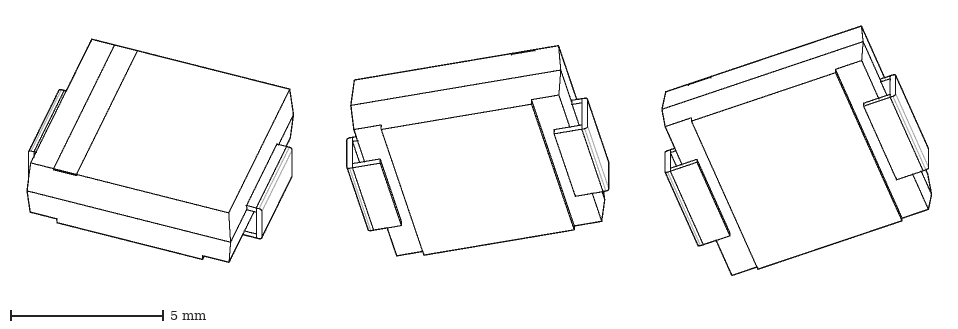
import cadquery as cq
import math

OVERALL_LENGTH = 8.13
PARTING_LENGTH = 7.09
PARTING_WIDTH = 6.22
HEIGHT = 2.5
PARTING_HEIGHT = HEIGHT / 2
DRAFT_INSET = 0.1
DRAFT_ANGLE = math.degrees(math.atan(DRAFT_INSET / PARTING_HEIGHT))

LEAD_THICKNESS = 0.195
LEAD_WIDTH = 2.99
LEAD_HEIGHT = 1.415
FOOT_LENGTH = 1.13
BEND_RADIUS = 0.1
WALL_INNER_X = OVERALL_LENGTH / 2 - LEAD_THICKNESS

PEDESTAL_LENGTH = 5.07

BAND_WIDTH = 0.8
BAND_THICKNESS = 0.05
BAND_EDGE_GAP = 0.8
BAND_MIN_X = -PARTING_LENGTH / 2 + DRAFT_INSET + BAND_EDGE_GAP


def box_between(x_min, x_max, width, z_min, z_max):
    """Box centred on Y, given by its X and Z limits."""
    return (
        cq.Workplane("XY")
        .box(x_max - x_min, width, z_max - z_min, centered=(False, True, False))
        .translate((x_min, 0, z_min))
    )


def make_mould_half(direction):
    """Drafted half of the package, above (+1) or below (-1) the parting plane."""
    return (
        cq.Workplane("XY")
        .workplane(offset=PARTING_HEIGHT)
        .rect(PARTING_LENGTH, PARTING_WIDTH)
        .extrude(direction * PARTING_HEIGHT, taper=DRAFT_ANGLE)
    )


def make_band(upper_blank):
    """Thin strip across the top, its ends trimmed to the drafted sides."""
    strip = box_between(
        BAND_MIN_X, BAND_MIN_X + BAND_WIDTH, PARTING_WIDTH, HEIGHT - BAND_THICKNESS, HEIGHT
    )
    return strip.intersect(upper_blank)


def make_lower_body(lower_blank):
    """Lower half with a full-width step at each end that clears the feet."""
    half_length = PARTING_LENGTH / 2
    half_pedestal = PEDESTAL_LENGTH / 2
    left_step = box_between(-half_length, -half_pedestal, PARTING_WIDTH, 0, LEAD_THICKNESS)
    right_step = left_step.mirror("YZ")
    return lower_blank.cut(left_step).cut(right_step)


def make_wall():
    """Upright wall of the +X lead, rounded along its two outer edges."""
    wall = box_between(WALL_INNER_X, OVERALL_LENGTH / 2, LEAD_WIDTH, 0, LEAD_HEIGHT)
    return wall.edges("|Y and >X").fillet(BEND_RADIUS)


def make_foot():
    """Solder foot running inward under the package from the +X wall."""
    foot_end_x = OVERALL_LENGTH / 2 - FOOT_LENGTH
    return box_between(foot_end_x, WALL_INNER_X, LEAD_WIDTH, 0, LEAD_THICKNESS)


def make_arm():
    """Arm from the +X wall whose inner end sits in a shallow recess in the package side."""
    arm_start_x = PARTING_LENGTH / 2 - DRAFT_INSET
    return box_between(
        arm_start_x, WALL_INNER_X, LEAD_WIDTH, LEAD_HEIGHT - LEAD_THICKNESS, LEAD_HEIGHT
    )


upper_blank = make_mould_half(1)
lower_blank = make_mould_half(-1)

right_arm = make_arm()
left_arm = right_arm.mirror("YZ")

band = make_band(upper_blank)
upper_body = upper_blank.cut(band).cut(right_arm).cut(left_arm)
lower_body = make_lower_body(lower_blank).cut(right_arm).cut(left_arm)

lead_pieces = [right_arm.val(), left_arm.val()]
for piece in (make_wall(), make_foot()):
    lead_pieces.append(piece.val())
    lead_pieces.append(piece.mirror("YZ").val())

result = cq.Compound.makeCompound([upper_body.val(), lower_body.val(), band.val(), *lead_pieces])